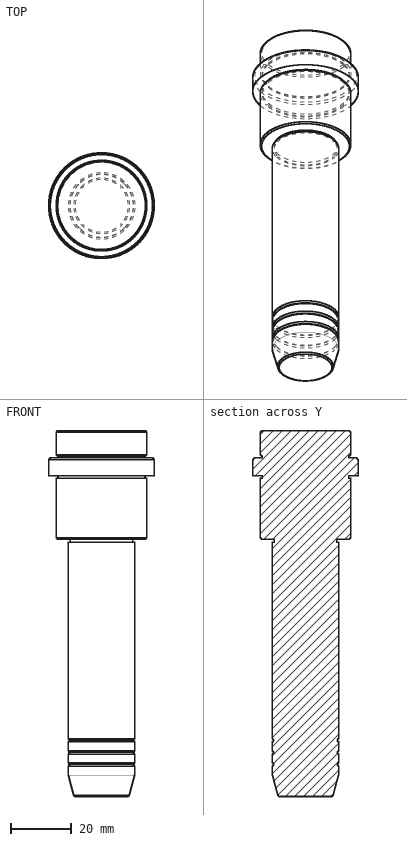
import cadquery as cq
import math

total_length = 121.0
head_radius = 15.0
flange_diameter = 35.0
flange_radius = flange_diameter / 2
shaft_radius = 11.0
edge_chamfer = 0.5

flange_top = total_length - 9.0
flange_bottom = flange_top - 6.0
sleeve_bottom = total_length - 35.9

flange_chamfer = 0.6
relief_radius = 14.4
upper_relief_height = 1.0
lower_relief_height = 0.7
neck_radius = 10.4
neck_height = 1.0

groove_count = 3
groove_pitch = 4.0
groove_width = 1.1
groove_depth = 0.5
lowest_groove = 10.6
taper_height = 7.1
taper_angle = 15.0
tip_chamfer = 0.5


def cylinder(radius, bottom, top):
    return cq.Workplane("XY").workplane(offset=bottom).circle(radius).extrude(top - bottom)


def make_shaft():
    """Cylindrical shaft with a conical tip and a bevelled end."""
    tip_radius = shaft_radius - (taper_height - tip_chamfer) * math.tan(math.radians(taper_angle))
    shaft_top = sleeve_bottom - neck_height
    profile = [
        (0, 0),
        (tip_radius - tip_chamfer, 0),
        (tip_radius, tip_chamfer),
        (shaft_radius, taper_height),
        (shaft_radius, shaft_top),
        (0, shaft_top),
    ]
    return cq.Workplane("XZ").polyline(profile).close().revolve(360, (0, 0, 0), (0, 1, 0))


def make_ring_groove(center_height):
    """Cutter for a V-shaped groove around the shaft."""
    half_width = groove_width / 2
    profile = [
        (shaft_radius, center_height - half_width),
        (shaft_radius - groove_depth, center_height),
        (shaft_radius, center_height + half_width),
    ]
    return cq.Workplane("XZ").polyline(profile).close().revolve(360, (0, 0, 0), (0, 1, 0))


def make_head():
    """Head, flange and sleeve, joined by the narrower core between them."""
    head = cylinder(head_radius, flange_top + upper_relief_height - edge_chamfer, total_length)
    head = head.faces("<Z or >Z").chamfer(edge_chamfer)
    flange = cylinder(flange_radius, flange_bottom, flange_top).faces(">Z").chamfer(flange_chamfer)
    sleeve = cylinder(head_radius, sleeve_bottom, flange_bottom - lower_relief_height)
    sleeve = sleeve.faces("<Z").chamfer(edge_chamfer)
    core = cylinder(relief_radius, sleeve_bottom + edge_chamfer, total_length - edge_chamfer)
    return head.union(flange).union(sleeve).union(core)


neck = cylinder(neck_radius, sleeve_bottom - neck_height, sleeve_bottom + edge_chamfer)
result = make_shaft().union(neck).union(make_head())

for index in range(groove_count):
    groove_center = lowest_groove + index * groove_pitch
    result = result.cut(make_ring_groove(groove_center))